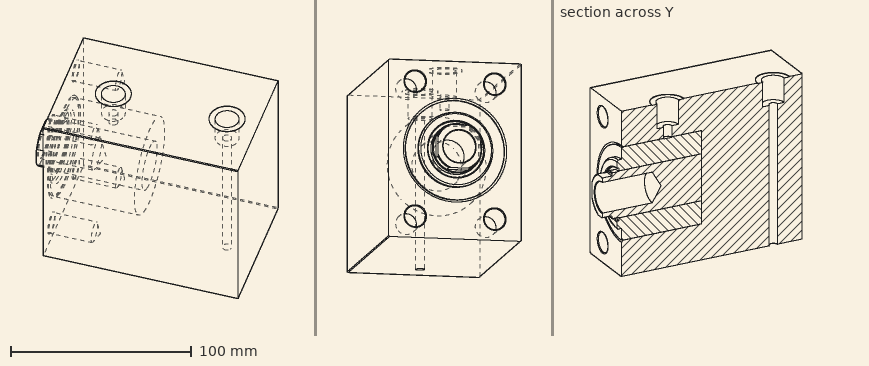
import cadquery as cq
import math

TOTAL_LENGTH = 125.0
BLOCK_WIDTH = 75.0
BLOCK_HEIGHT = 100.0
BLOCK_FACE_X = 12.0
BLOCK_EDGE_CHAMFER = 0.5

MOUNT_SPACING_Y = 45.0
MOUNT_SPACING_Z = 76.0
MOUNT_DIAMETER = 11.8
MOUNT_DEPTH = 25.0
MOUNT_MOUTH_CHAMFER = 0.5

FRONT_PORT_X = 41.0
PORT_SPACING = 66.0
REAR_PORT_X = FRONT_PORT_X + PORT_SPACING
SPOTFACE_DIAMETER = 20.0
SPOTFACE_DEPTH = 0.2
PORT_DIAMETER = 13.2
PORT_DEPTH = 15.0
PORT_DRILL_DIAMETER = 5.0

BORE_DIAMETER = 56.0
BORE_DEPTH = 50.0
BORE_FLOOR_X = BLOCK_FACE_X + BORE_DEPTH
BORE_MOUTH_CHAMFER = 1.2

NOSE_DIAMETER = 42.0
NOSE_X = 9.0
NOSE_CHAMFER = 1.0
RECESS_DIAMETER = 31.5
RECESS_DEPTH = 1.5
RECESS_MOUTH_CHAMFER = 0.5

ROD_DIAMETER = 28.0
ROD_SHOULDER_X = 6.0
ROD_CHAMFER = 0.5
TIP_DIAMETER = 27.0
TIP_CHAMFER = 0.5
TIP_FLATS = 24.2
ROD_HOLE_DIAMETER = 18.2
ROD_HOLE_DEPTH = 31.2
ROD_HOLE_CHAMFER = 0.4

DRILL_POINT_ANGLE = 118.0


def turned(points):
    """Solid of revolution about X from (x, radius) points."""
    return cq.Workplane("XZ").polyline(points).close().revolve(360, (0, 0, 0), (1, 0, 0))


def drilled_hole(mouth_x, diameter, depth, chamfer):
    """Cutter along X: chamfered mouth, straight wall and drill-point bottom."""
    radius = diameter / 2
    point_length = radius / math.tan(math.radians(DRILL_POINT_ANGLE / 2))
    return turned([
        (mouth_x, 0),
        (mouth_x, radius + chamfer),
        (mouth_x + chamfer, radius),
        (mouth_x + depth, radius),
        (mouth_x + depth + point_length, 0),
    ])


def vertical_hole(x, diameter, depth):
    """Cutter going straight down from the top face of the block."""
    top = cq.Workplane("XY", origin=(x, 0, BLOCK_HEIGHT / 2))
    return top.circle(diameter / 2).extrude(-depth)


def make_block():
    length = TOTAL_LENGTH - BLOCK_FACE_X
    block = cq.Workplane("XY").box(length, BLOCK_WIDTH, BLOCK_HEIGHT)
    block = block.translate((BLOCK_FACE_X + length / 2, 0, 0))
    block = block.edges("|X").chamfer(BLOCK_EDGE_CHAMFER)

    bore_radius = BORE_DIAMETER / 2
    bore = turned([
        (BLOCK_FACE_X, 0),
        (BLOCK_FACE_X, bore_radius + BORE_MOUTH_CHAMFER),
        (BLOCK_FACE_X + BORE_MOUTH_CHAMFER, bore_radius),
        (BORE_FLOOR_X, bore_radius),
        (BORE_FLOOR_X, 0),
    ])
    block = block.cut(bore)

    mount_hole = drilled_hole(BLOCK_FACE_X, MOUNT_DIAMETER, MOUNT_DEPTH, MOUNT_MOUTH_CHAMFER)
    for y in (-MOUNT_SPACING_Y / 2, MOUNT_SPACING_Y / 2):
        for z in (-MOUNT_SPACING_Z / 2, MOUNT_SPACING_Z / 2):
            block = block.cut(mount_hole.translate((0, y, z)))

    for x, drill_depth in ((FRONT_PORT_X, BLOCK_HEIGHT / 2), (REAR_PORT_X, BLOCK_HEIGHT)):
        block = block.cut(vertical_hole(x, SPOTFACE_DIAMETER, SPOTFACE_DEPTH))
        block = block.cut(vertical_hole(x, PORT_DIAMETER, PORT_DEPTH))
        block = block.cut(vertical_hole(x, PORT_DRILL_DIAMETER, drill_depth))
    return block


def make_gland():
    nose_radius = NOSE_DIAMETER / 2
    recess_radius = RECESS_DIAMETER / 2
    return turned([
        (BORE_FLOOR_X, ROD_DIAMETER / 2),
        (BORE_FLOOR_X, BORE_DIAMETER / 2),
        (BLOCK_FACE_X, BORE_DIAMETER / 2),
        (BLOCK_FACE_X, nose_radius),
        (NOSE_X + NOSE_CHAMFER, nose_radius),
        (NOSE_X, nose_radius - NOSE_CHAMFER),
        (NOSE_X, recess_radius + RECESS_MOUTH_CHAMFER),
        (NOSE_X + RECESS_MOUTH_CHAMFER, recess_radius),
        (NOSE_X + RECESS_DEPTH, recess_radius),
        (NOSE_X + RECESS_DEPTH, ROD_DIAMETER / 2),
    ])


def make_rod():
    rod_radius = ROD_DIAMETER / 2
    tip_radius = TIP_DIAMETER / 2
    shaft = turned([
        (ROD_SHOULDER_X, 0),
        (ROD_SHOULDER_X, rod_radius - ROD_CHAMFER),
        (ROD_SHOULDER_X + ROD_CHAMFER, rod_radius),
        (BORE_FLOOR_X, rod_radius),
        (BORE_FLOOR_X, 0),
    ])
    tip = turned([
        (0, 0),
        (0, tip_radius - TIP_CHAMFER),
        (TIP_CHAMFER, tip_radius),
        (ROD_SHOULDER_X, tip_radius),
        (ROD_SHOULDER_X, 0),
    ])
    square = cq.Workplane("YZ").rect(TIP_FLATS, TIP_FLATS).extrude(ROD_SHOULDER_X)
    rod = shaft.union(tip.intersect(square))
    return rod.cut(drilled_hole(0, ROD_HOLE_DIAMETER, ROD_HOLE_DEPTH, ROD_HOLE_CHAMFER))


block = make_block()
gland = make_gland()
rod = make_rod()

result = cq.Compound.makeCompound([block.val(), gland.val(), rod.val()])